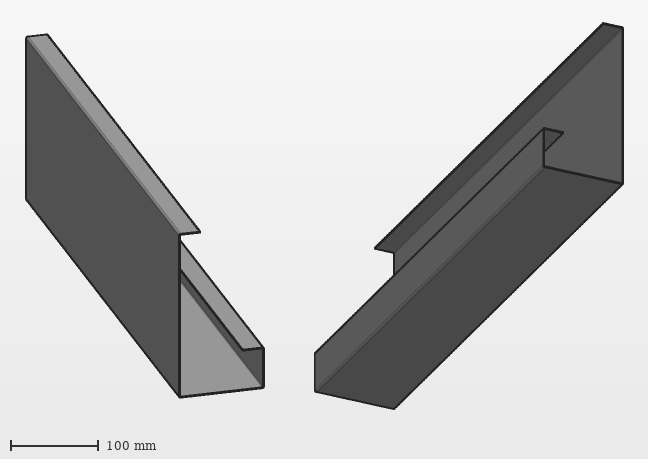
import cadquery as cq

length = 609.5
height = length / 3
depth = height / 2

thickness = 1.5
inside_radius = thickness / 2
outside_radius = inside_radius + thickness
lip_width = depth / 4
back_wall_height = depth / 2

front = -depth / 2
back = depth / 2
bottom = -height / 2
top = height / 2
back_top = bottom + back_wall_height

outer_folds = [(front, top), (front, bottom), (back, bottom), (back, back_top)]
inner_folds = [
    (back - thickness, back_top - thickness),
    (back - thickness, bottom + thickness),
    (front + thickness, bottom + thickness),
    (front + thickness, top - thickness),
]
front_lip_end = front + lip_width
back_lip_end = back - lip_width

section = [
    (front_lip_end, top),
    *outer_folds,
    (back_lip_end, back_top),
    (back_lip_end, back_top - thickness),
    *inner_folds,
    (front_lip_end, top - thickness),
]


def round_folds(body, folds, radius):
    """Round the lengthwise edges that pass through the given (y, z) points."""
    edges = cq.Workplane("XY")
    for y, z in folds:
        nearest = cq.selectors.NearestToPointSelector((0, y, z))
        edges = edges.add(body.edges("|X").edges(nearest).val())
    return cq.Workplane(body.val().fillet(radius, edges.vals()))


channel = cq.Workplane("YZ").polyline(section).close().extrude(length / 2, both=True).clean()
channel = round_folds(channel, outer_folds, outside_radius)
result = round_folds(channel, inner_folds, inside_radius)